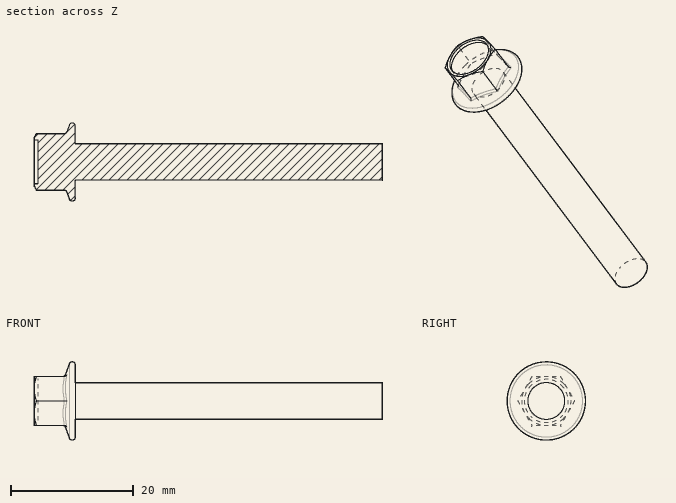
import cadquery as cq
import math

SHANK_LENGTH = 50.0
SHANK_DIAMETER = 6.0
HEAD_HEIGHT = 6.7
SIDES = 6
ACROSS_FLATS = 8.0
FLANGE_DIAMETER = 12.8
RIM_RADIUS = 0.5
CONE_ANGLE = math.radians(20.0)
CORNER_CHAMFER_ANGLE = math.radians(30.0)
HEAD_FACE_DIAMETER = 8.0
RECESS_DIAMETER = 7.1
RECESS_DEPTH = 0.6
ROOT_FILLET = 0.4
FULL_TURN = 360.0

ACROSS_CORNERS = ACROSS_FLATS / math.cos(math.pi / SIDES)
HEAD_FACE_RADIUS = HEAD_FACE_DIAMETER / 2
HEAD_TOP = -HEAD_HEIGHT


def revolve_about_axis(profile):
    """Revolve a closed (x, radius) profile a full turn about the bolt axis."""
    return profile.close().revolve(FULL_TURN, (0, 0, 0), (1, 0, 0))


def make_shank():
    return cq.Workplane("YZ").circle(SHANK_DIAMETER / 2).extrude(SHANK_LENGTH)


def make_flange():
    """Conical flange whose rounded rim is tangent to the seat and to the cone."""
    rim_center = FLANGE_DIAMETER / 2 - RIM_RADIUS
    tangent_x = -RIM_RADIUS * (1 + math.cos(CONE_ANGLE))
    tangent_radius = rim_center + RIM_RADIUS * math.sin(CONE_ANGLE)
    apex_x = tangent_x - tangent_radius * math.tan(CONE_ANGLE)
    profile = (
        cq.Workplane("XY")
        .lineTo(0, rim_center)
        .threePointArc((-RIM_RADIUS, FLANGE_DIAMETER / 2), (tangent_x, tangent_radius))
        .lineTo(apex_x, 0)
    )
    return revolve_about_axis(profile)


def make_hexagon():
    """Hexagonal prism with two flats facing up and down (Z)."""
    return cq.Workplane("YZ").polygon(SIDES, ACROSS_CORNERS).extrude(HEAD_TOP)


def make_filleted_blank():
    """Hexagon on its flange, with each flat blended into the cone and the blends mitred at the corners.

    The blend is made on one 60 degree sector, centred on the upper flat, and repeated about the axis.
    """
    half_width = FLANGE_DIAMETER * math.tan(math.pi / SIDES)
    sector = (
        cq.Workplane("YZ", origin=(HEAD_TOP, 0, 0))
        .polyline([(0, 0), (half_width, FLANGE_DIAMETER), (-half_width, FLANGE_DIAMETER)])
        .close()
        .extrude(HEAD_HEIGHT)
    )
    sector = make_hexagon().union(make_flange()).intersect(sector)
    sector = sector.edges("%HYPERBOLA").fillet(ROOT_FILLET)
    blank = sector
    for index in range(1, SIDES):
        blank = blank.union(sector.rotate((0, 0, 0), (1, 0, 0), index * FULL_TURN / SIDES))
    return blank.clean()


def make_corner_chamfer_envelope():
    """Solid of revolution that keeps the head inside its 30 degree corner chamfer."""
    outer_radius = FLANGE_DIAMETER
    chamfer_length = (outer_radius - HEAD_FACE_RADIUS) * math.tan(CORNER_CHAMFER_ANGLE)
    profile = (
        cq.Workplane("XY")
        .moveTo(HEAD_TOP, 0)
        .lineTo(HEAD_TOP, HEAD_FACE_RADIUS)
        .lineTo(HEAD_TOP + chamfer_length, outer_radius)
        .lineTo(SHANK_LENGTH, outer_radius)
        .lineTo(SHANK_LENGTH, 0)
    )
    return revolve_about_axis(profile)


def make_recess():
    """Shallow round recess in the end of the head."""
    return cq.Workplane("YZ", origin=(HEAD_TOP, 0, 0)).circle(RECESS_DIAMETER / 2).extrude(RECESS_DEPTH)


head = make_filleted_blank().intersect(make_corner_chamfer_envelope()).cut(make_recess())
result = head.union(make_shank())